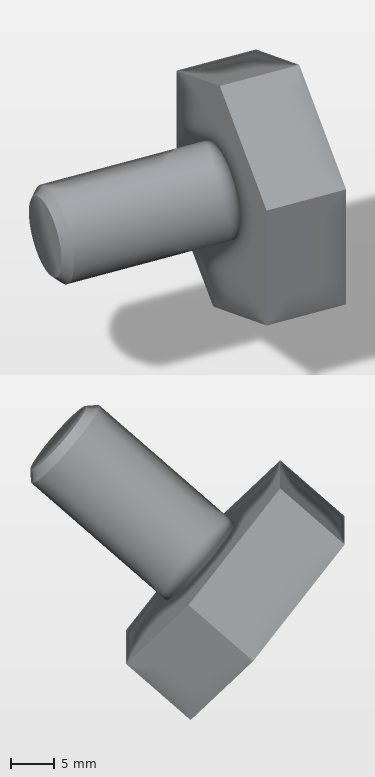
import cadquery as cq
import math

overall_length = 32.0
head_thickness = 10.0
shank_diameter = 12.0
chamfer_size = 1.07

head_height = 34.65
left_reach = 12.95
right_reach = 14.03
top_height = 15.62
bottom_offset = -2.0
slope = math.tan(math.radians(30))

shank_length = overall_length - head_thickness
bottom_height = top_height - head_height


def make_head():
    """Six-sided block on the +Y side of the shank."""
    corners = [
        (0, top_height),
        (right_reach, top_height - right_reach * slope),
        (right_reach, bottom_height + (right_reach - bottom_offset) * slope),
        (bottom_offset, bottom_height),
        (-left_reach, bottom_height + (left_reach + bottom_offset) * slope),
        (-left_reach, top_height - left_reach * slope),
    ]
    return cq.Workplane("XZ").polyline(corners).close().extrude(-head_thickness)


def make_shank():
    """Round pin toward -Y with a chamfered free end."""
    pin = cq.Workplane("XZ").circle(shank_diameter / 2).extrude(shank_length)
    return pin.faces("<Y").chamfer(chamfer_size)


result = make_head().union(make_shank())